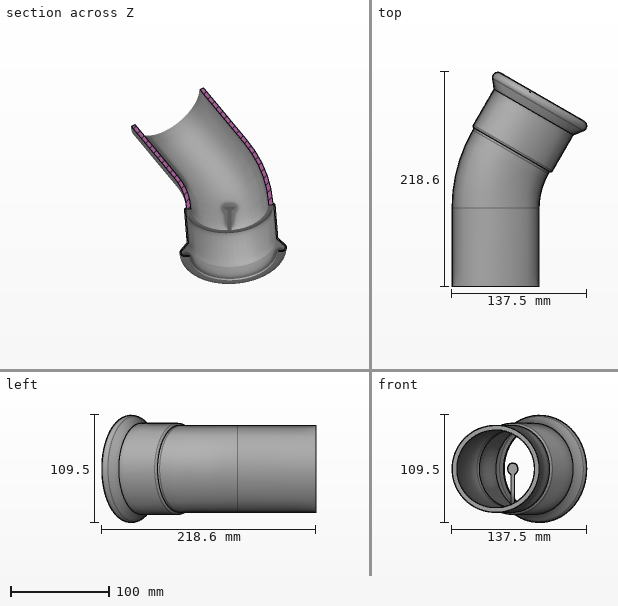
import cadquery as cq
import math

pipe_radius = 88.9 / 2
bore_radius = 39.6
straight_length = 80.0
bend_radius = 114.5
bend_angle = 30.0

socket_radius = 46.6
socket_wall = 1.8
socket_start = 2.5
socket_floor = 4.7
flare_start = 46.9
bead_outer_radius = 54.75
bead_round = 5.5
bead_station = 59.1

marker_disc_diameter = 12.0
marker_stem_width = 4.0
marker_thickness = 0.5
marker_embed = 1.0

socket_bore_radius = socket_radius - socket_wall
shoulder_round = socket_radius - pipe_radius
bead_centre_radius = bead_outer_radius - bead_round
groove_round = bead_round - socket_wall
mouth_station = bead_station + bead_round
bend_sin = math.sin(math.radians(bend_angle))
bend_cos = math.cos(math.radians(bend_angle))
bend_end = (bend_radius * (1 - bend_cos), straight_length + bend_radius * bend_sin, 0)

bead_offset = bead_centre_radius - socket_radius
bead_rise = bead_station - flare_start
flare_slope = math.atan2(bead_offset, bead_rise) + math.asin(bead_round / math.hypot(bead_offset, bead_rise))
inner_flare_start = flare_start + socket_wall * math.tan(flare_slope / 2)

socket_plane = cq.Plane(origin=bend_end, xDir=(bend_cos, -bend_sin, 0), normal=(0, 0, 1))


def bead_point(radius, angle):
    """Point on a circle about the bead centre, angle measured from the radial direction."""
    return (bead_centre_radius + radius * math.cos(angle), bead_station + radius * math.sin(angle))


def make_tube(radius):
    """Solid straight run along +Y followed by the bend towards +X."""
    straight = cq.Workplane("XZ").circle(radius).extrude(-straight_length)
    bend = (
        cq.Workplane("XZ", origin=(0, straight_length, 0))
        .circle(radius)
        .revolve(bend_angle, (bend_radius, 1), (bend_radius, 0))
    )
    return straight.union(bend)


def make_socket():
    """Socket with rounded shoulder, inner floor, flare and rolled bead with its seal groove."""
    tangent_angle = -flare_slope
    middle_angle = (tangent_angle + math.pi / 2) / 2
    shoulder_middle = (
        pipe_radius + shoulder_round * math.sin(math.pi / 4),
        socket_start + shoulder_round * (1 - math.cos(math.pi / 4)),
    )
    return (
        cq.Workplane(socket_plane)
        .moveTo(bore_radius, 0)
        .lineTo(pipe_radius, 0)
        .lineTo(pipe_radius, socket_start)
        .threePointArc(shoulder_middle, (socket_radius, socket_start + shoulder_round))
        .lineTo(socket_radius, flare_start)
        .lineTo(*bead_point(bead_round, tangent_angle))
        .threePointArc(bead_point(bead_round, middle_angle), bead_point(bead_round, math.pi / 2))
        .lineTo(socket_bore_radius, mouth_station)
        .lineTo(socket_bore_radius, mouth_station - socket_wall)
        .lineTo(*bead_point(groove_round, math.pi / 2))
        .threePointArc(bead_point(groove_round, middle_angle), bead_point(groove_round, tangent_angle))
        .lineTo(socket_bore_radius, inner_flare_start)
        .lineTo(socket_bore_radius, socket_floor)
        .lineTo(bore_radius, socket_floor)
        .close()
        .revolve(360, (0, 0), (0, 1))
    )


def make_marker():
    """Disc on the socket axis with a stem reaching down into the bore wall."""
    base = socket_plane.toWorldCoords((0, socket_floor - marker_thickness, 0))
    plane = cq.Plane(origin=base, xDir=socket_plane.xDir, normal=socket_plane.yDir)
    stem_length = bore_radius + marker_embed
    disc = cq.Workplane(plane).circle(marker_disc_diameter / 2).extrude(marker_thickness)
    stem = (
        cq.Workplane(plane)
        .center(0, stem_length / 2)
        .rect(marker_stem_width, stem_length)
        .extrude(marker_thickness)
    )
    return disc.union(stem)


tube = make_tube(pipe_radius).cut(make_tube(bore_radius))
result = tube.union(make_socket()).union(make_marker())